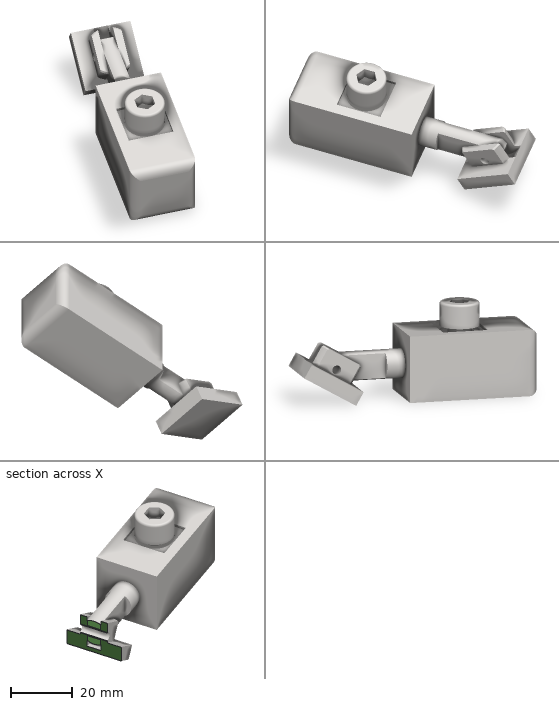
import cadquery as cq
import math


housing_width = 22.0
housing_length = 43.05
rear_rounding = 3.0

insert_side = 15.0
insert_x = 19.5
insert_recess = 1.0
spot_face_depth = 0.7
pocket_floor = (housing_width - insert_side) / 2
housing_top = housing_width / 2
insert_top = housing_top - insert_recess
insert_bottom = pocket_floor - housing_top
insert_front = insert_x - insert_side / 2

head_diameter = 13.0
head_height = 8.0
head_gap = 0.5
head_rounding = 0.8
shank_diameter = 8.0
shank_grip = 2.35
socket_width = 6.0
socket_depth = 4.0
drill_point_slope = math.radians(30)
head_bottom = housing_top + head_gap
head_top = head_bottom + head_height
shank_bottom = insert_bottom - shank_grip

rod_diameter = 9.6
tongue_thickness = 5.0
shoulder_x = -6.0
pivot_x = -23.0
tip_reach = 5.0
tip_chamfer = 2.35

pin_diameter = 3.8
pin_bore = 3.0

foot_tilt = 30
plate_side = 20.0
plate_thickness = 5.0
pivot_height = 2.0
boss_diameter = 16.0
boss_width = 10.0
boss_height = 7.0
boss_chamfer = 0.5
slot_floor_radius = 15.0


def cylinder_x(diameter, start, end):
    """Cylinder on the rod axis."""
    return cq.Workplane("YZ", origin=(start, 0, 0)).circle(diameter / 2).extrude(end - start)


def cylinder_z(diameter, bottom, top):
    """Cylinder on the screw axis."""
    return cq.Workplane("XY", origin=(insert_x, 0, bottom)).circle(diameter / 2).extrude(top - bottom)


def pivot_cylinder(diameter):
    """Cylinder on the hinge axis, as long as the boss is wide."""
    axis_plane = cq.Workplane("XZ", origin=(pivot_x, 0, 0))
    return axis_plane.circle(diameter / 2).extrude(boss_width / 2, both=True)


def insert_block(top):
    """Square block from the pocket floor up to the given height."""
    base = cq.Workplane("XY", origin=(insert_x, 0, insert_bottom))
    return base.rect(insert_side, insert_side).extrude(top - insert_bottom)


def make_housing():
    block = cq.Workplane("XY").box(housing_length, housing_width, housing_width, centered=(False, True, True))
    block = block.faces(">X").edges().fillet(rear_rounding)
    block = block.cut(insert_block(housing_top))
    block = block.cut(cylinder_x(rod_diameter, 0, insert_front))
    return block.cut(cylinder_z(shank_diameter, shank_bottom, insert_bottom))


def make_insert():
    block = insert_block(insert_top)
    block = block.cut(cylinder_z(head_diameter, insert_top - spot_face_depth, insert_top))
    return block.cut(cylinder_z(shank_diameter, insert_bottom, insert_top))


def make_socket():
    """Hexagonal socket ending in a drill point."""
    corner_radius = socket_width / math.sqrt(3)
    point_depth = socket_depth + corner_radius * math.tan(drill_point_slope)
    hexagon = cq.Workplane("XY").polygon(6, 2 * corner_radius).extrude(-point_depth)
    drilled_hole = (
        cq.Workplane("XZ")
        .polyline([(0, 0), (corner_radius, 0), (corner_radius, -socket_depth), (0, -point_depth)])
        .close()
        .revolve(360, (0, 0, 0), (0, 1, 0))
    )
    return hexagon.intersect(drilled_hole).translate((insert_x, 0, head_top))


def make_screw():
    head = cylinder_z(head_diameter, head_bottom, head_top)
    head = head.faces(">Z").edges().fillet(head_rounding)
    head = head.cut(make_socket())
    return head.union(cylinder_z(shank_diameter, shank_bottom, head_bottom))


def make_rod():
    tip_x = pivot_x - tip_reach
    rod_radius = rod_diameter / 2
    rod = cylinder_x(rod_diameter, shoulder_x, insert_front)
    tongue_outline = (
        cq.Workplane("XZ")
        .moveTo(shoulder_x, rod_radius)
        .lineTo(tip_x + tip_chamfer, rod_radius)
        .lineTo(tip_x, rod_radius - tip_chamfer)
        .lineTo(tip_x, tip_chamfer - rod_radius)
        .lineTo(tip_x + tip_chamfer, -rod_radius)
        .lineTo(shoulder_x, -rod_radius)
        .close()
    )
    tongue = tongue_outline.extrude(tongue_thickness / 2, both=True)
    tongue = tongue.intersect(cylinder_x(rod_diameter, tip_x, shoulder_x))
    return rod.union(tongue).cut(pivot_cylinder(pin_diameter))


def make_pin():
    return pivot_cylinder(pin_diameter).cut(pivot_cylinder(pin_bore))


def make_foot():
    """Foot built flat with the plate top at Z = 0, then moved to the hinge and tilted."""
    plate = cq.Workplane("XY").rect(plate_side, plate_side).extrude(-plate_thickness)
    boss = cq.Workplane("XY").circle(boss_diameter / 2).extrude(boss_height)
    boss = boss.faces(">Z").edges().chamfer(boss_chamfer)
    boss = boss.intersect(cq.Workplane("XY").rect(boss_diameter, boss_width).extrude(boss_height))

    floor_centre = math.sqrt(slot_floor_radius**2 - (plate_side / 2) ** 2)
    slot = (
        cq.Workplane("XZ")
        .moveTo(-plate_side / 2, 0)
        .threePointArc((0, floor_centre - slot_floor_radius), (plate_side / 2, 0))
        .lineTo(plate_side / 2, boss_height)
        .lineTo(-plate_side / 2, boss_height)
        .close()
        .extrude(tongue_thickness / 2, both=True)
    )
    foot = plate.union(boss).cut(slot)
    foot = foot.translate((pivot_x, 0, -pivot_height))
    foot = foot.rotate((pivot_x, 0, 0), (pivot_x, 1, 0), foot_tilt)
    return foot.cut(pivot_cylinder(pin_diameter))


housing = make_housing()
insert = make_insert()
screw = make_screw()
rod = make_rod()
pin = make_pin()
foot = make_foot()

bodies = [housing, insert, screw, rod, pin, foot]
result = cq.Compound.makeCompound([body.solids().val() for body in bodies])